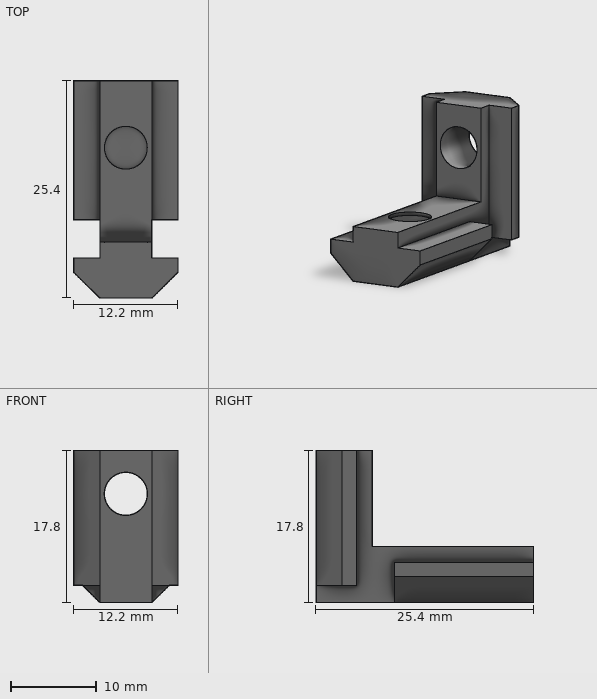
import cadquery as cq

width = 12.19
leg_length = 25.4
leg_height = 17.78

stem_width = 6.08
leg_thickness = 6.56
head_depth = 4.7
bevel_depth = 3.02

horizontal_head_start = 9.14
vertical_head_start = 2.0

hole_diameter = 5.0
vertical_hole_height = 12.7
horizontal_hole_distance = 17.57
horizontal_hole_depth = 0.4


def stem(length, height):
    """Narrow centre block, centred on X, with its outer bottom edge on the X axis."""
    return cq.Workplane("XY").box(stem_width, length, height, centered=(True, False, False))


def head_outline(plane):
    """Bevelled T head: narrow at the outer face, full width further in."""
    return plane.polyline(
        [
            (-stem_width / 2, 0),
            (stem_width / 2, 0),
            (width / 2, bevel_depth),
            (width / 2, head_depth),
            (-width / 2, head_depth),
            (-width / 2, bevel_depth),
        ]
    ).close()


def horizontal_leg():
    """Leg along +Y with its bevels facing down."""
    plane = cq.Workplane("XZ", origin=(0, horizontal_head_start, 0))
    head = head_outline(plane).extrude(horizontal_head_start - leg_length)
    return stem(leg_length, leg_thickness).union(head)


def vertical_leg():
    """Leg along +Z with its bevels facing -Y."""
    plane = cq.Workplane("XY", origin=(0, 0, vertical_head_start))
    head = head_outline(plane).extrude(leg_height - vertical_head_start)
    return stem(leg_thickness, leg_height).union(head)


def vertical_leg_hole():
    """Hole through the vertical leg along Y."""
    plane = cq.Workplane("XZ", origin=(0, 0, vertical_hole_height))
    return plane.circle(hole_diameter / 2).extrude(-leg_thickness)


def horizontal_leg_hole():
    """Shallow blind hole in the top face of the horizontal leg."""
    plane = cq.Workplane("XY", origin=(0, horizontal_hole_distance, leg_thickness))
    return plane.circle(hole_diameter / 2).extrude(-horizontal_hole_depth)


result = horizontal_leg().union(vertical_leg()).cut(vertical_leg_hole()).cut(horizontal_leg_hole())